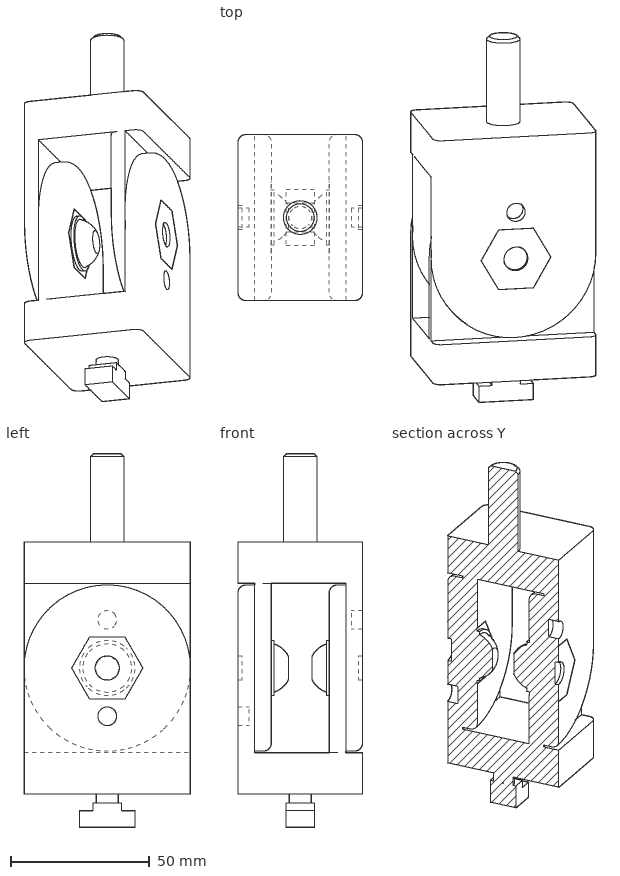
import cadquery as cq
import math


width = 45.0
depth = 60.0
body_height = 91.0
block_height = 15.0
arm_thickness = 6.0
edge_radius = 3.0
arm_radius = depth / 2

hex_across_flats = 22.2
hex_recess = 0.1
bolt_end_diameter = 8.8
bolt_end_depth = 1.5
flange_diameter = 20.0
flange_thickness = 1.0
head_base_radius = 8.8
head_tip_radius = 4.2
head_height = 5.3

pin_hole_diameter = 6.7
pin_hole_depth = 4.0
pin_hole_offset = 17.4

stud_diameter = 12.1
stud_length = 31.8
stud_chamfer = 1.1

neck_diameter = 8.1
neck_length = 3.1
foot_width = 10.4
foot_step_height = 2.8
foot_flange_length = 20.1
foot_flange_height = 6.0

body_top = body_height / 2
body_bottom = -body_top
outer_face = width / 2
inner_face = outer_face - 2 * arm_thickness


def cylinder_along_x(x, z, diameter, length):
    """Cylinder starting at x and running towards +X."""
    return cq.Workplane("YZ", origin=(x, 0, z)).circle(diameter / 2).extrude(length)


def hex_recess_cut(x):
    """Shallow hexagon with its corners towards +Y and -Y."""
    across_corners = hex_across_flats / math.cos(math.pi / 6)
    return cq.Workplane("YZ", origin=(x, 0, 0)).polygon(6, across_corners).extrude(hex_recess)


def arm(rounded_face):
    """Upright arm with a round top; the edge of its -X face is rounded over."""
    blank = (
        cq.Workplane("YZ", origin=(rounded_face, 0, 0))
        .moveTo(-arm_radius, body_bottom)
        .lineTo(-arm_radius, 0)
        .threePointArc((0, arm_radius), (arm_radius, 0))
        .lineTo(arm_radius, body_bottom)
        .close()
        .extrude(arm_thickness)
    )
    return blank.faces("<X").edges("not <Z").fillet(edge_radius)


def bolt_head():
    """Flanged, domed head seated in the hexagon of the inner arm, pointing towards -X."""
    recess_floor = inner_face + hex_recess
    dome_base = inner_face - flange_thickness
    dome_tip = dome_base - head_height
    centre_offset = (
        head_base_radius**2 - head_tip_radius**2 - head_height**2
    ) / (2 * head_height)
    sphere_radius = math.hypot(head_base_radius, centre_offset)
    middle_offset = head_height / 2
    middle_radius = math.sqrt(sphere_radius**2 - (middle_offset + centre_offset) ** 2)
    return (
        cq.Workplane("XY")
        .moveTo(recess_floor, 0)
        .lineTo(recess_floor, flange_diameter / 2)
        .lineTo(dome_base, flange_diameter / 2)
        .lineTo(dome_base, head_base_radius)
        .threePointArc((dome_base - middle_offset, middle_radius), (dome_tip, head_tip_radius))
        .lineTo(dome_tip, 0)
        .close()
        .revolve(360, (0, 0, 0), (1, 0, 0))
    )


def yoke():
    """Lower yoke: block, outer arm at -X and inner arm near +X."""
    block = (
        cq.Workplane("XY", origin=(0, 0, body_bottom))
        .rect(width, depth)
        .extrude(block_height)
        .edges("|Z")
        .fillet(edge_radius)
    )
    frame = block.union(arm(-outer_face)).union(arm(inner_face))
    bolt_end = cylinder_along_x(-outer_face, 0, bolt_end_diameter, bolt_end_depth)
    pin_hole = cylinder_along_x(-outer_face, -pin_hole_offset, pin_hole_diameter, pin_hole_depth)
    frame = frame.cut(hex_recess_cut(-outer_face)).cut(hex_recess_cut(inner_face))
    return frame.cut(bolt_end).cut(pin_hole).union(bolt_head())


def stud():
    return (
        cq.Workplane("XY", origin=(0, 0, body_top))
        .circle(stud_diameter / 2)
        .extrude(stud_length)
        .faces(">Z")
        .chamfer(stud_chamfer)
    )


def foot():
    """Round neck, square step and wide flange stacked downwards."""
    step_top = body_bottom - neck_length
    flange_top = step_top - foot_step_height
    neck = cq.Workplane("XY", origin=(0, 0, body_bottom)).circle(neck_diameter / 2).extrude(-neck_length)
    step = cq.Workplane("XY", origin=(0, 0, step_top)).rect(foot_width, foot_width).extrude(-foot_step_height)
    flange = (
        cq.Workplane("XY", origin=(0, 0, flange_top))
        .rect(foot_width, foot_flange_length)
        .extrude(-foot_flange_height)
    )
    return neck.union(step).union(flange)


lower_yoke = yoke()
upper_yoke = lower_yoke.rotate((0, 0, 0), (0, 1, 0), 180)
result = lower_yoke.union(upper_yoke).union(stud()).union(foot())